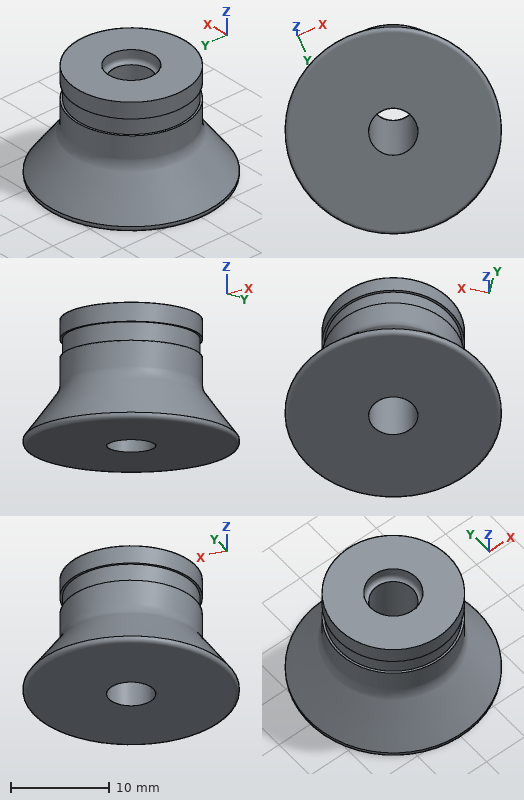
import cadquery as cq
import math

total_height = 13.2
rim_height = 0.66
cone_top_height = 5.7

rim_diameter = 22.0
neck_diameter = 14.5

groove_diameter = 14.0
groove_width = 2.0
collar_height = 2.0

neck_blend_radius = 2.0
bottom_edge_radius = 0.4

bore_diameter = 5.0
counterbore_diameter = 6.0
counterbore_wall_depth = 1.0


def revolve_about_z(profile):
    """Turn a closed radius-height profile, drawn on XZ, a full turn about the Z axis."""
    return profile.revolve(360, (0, 0, 0), (0, 1, 0))


def make_outer_body():
    """Flared skirt blended into a grooved cylindrical neck."""
    rim_radius = rim_diameter / 2
    neck_radius = neck_diameter / 2
    groove_radius = groove_diameter / 2
    groove_top = total_height - collar_height
    groove_bottom = groove_top - groove_width

    cone_angle = math.atan2(rim_radius - neck_radius, cone_top_height - rim_height)
    tangent_length = neck_blend_radius * math.tan(cone_angle / 2)
    blend_start = (
        neck_radius + tangent_length * math.sin(cone_angle),
        cone_top_height - tangent_length * math.cos(cone_angle),
    )
    blend_end = (neck_radius, cone_top_height + tangent_length)

    profile = (
        cq.Workplane("XZ")
        .lineTo(rim_radius - bottom_edge_radius, 0)
        .radiusArc((rim_radius, bottom_edge_radius), -bottom_edge_radius)
        .lineTo(rim_radius, rim_height)
        .lineTo(*blend_start)
        .radiusArc(blend_end, neck_blend_radius)
        .lineTo(neck_radius, groove_bottom)
        .lineTo(groove_radius, groove_bottom)
        .lineTo(groove_radius, groove_top)
        .lineTo(neck_radius, groove_top)
        .lineTo(neck_radius, total_height)
        .lineTo(0, total_height)
        .close()
    )
    return revolve_about_z(profile)


def make_bore():
    """Through bore whose counterbore ends in a concave quarter-round seat."""
    bore_radius = bore_diameter / 2
    counterbore_radius = counterbore_diameter / 2
    seat_radius = counterbore_radius - bore_radius
    seat_top = total_height - counterbore_wall_depth
    seat_bottom = seat_top - seat_radius
    profile = (
        cq.Workplane("XZ")
        .lineTo(bore_radius, 0)
        .lineTo(bore_radius, seat_bottom)
        .radiusArc((counterbore_radius, seat_top), -seat_radius)
        .lineTo(counterbore_radius, total_height)
        .lineTo(0, total_height)
        .close()
    )
    return revolve_about_z(profile)


result = make_outer_body().cut(make_bore())